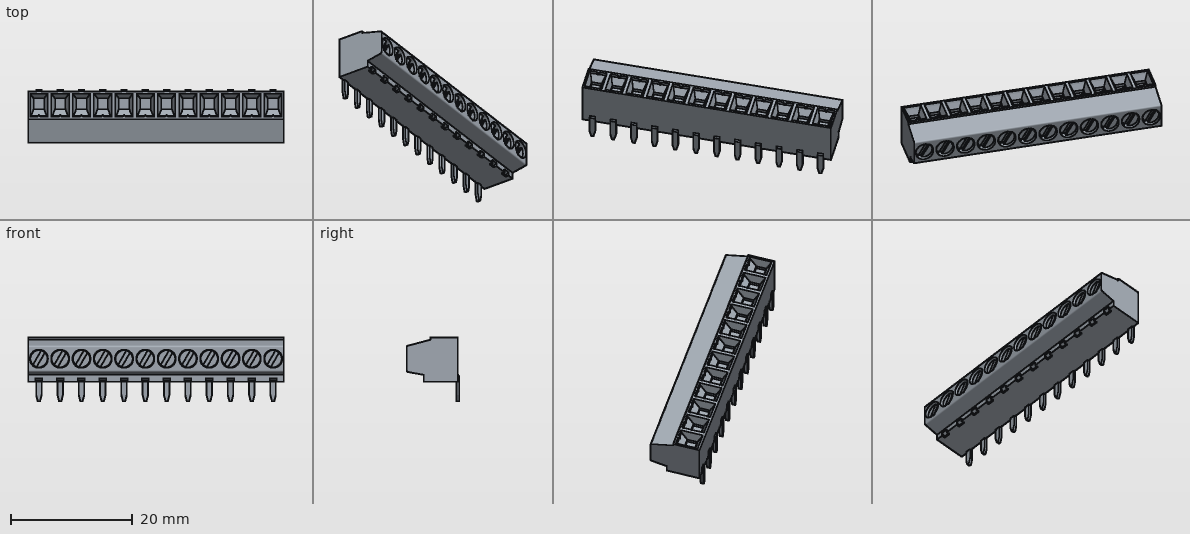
import cadquery as cq

pole_count = 12
pitch = 3.5
housing_length = pole_count * pitch

housing_depth = 8.45
housing_height = 7.3
top_land_depth = 4.55
top_step_height = 0.36
front_top_z = -1.4
front_bottom_z = -5.65
foot_depth = 5.65
foot_top_z = -6.17
front_edge_radius = 0.3

funnel_width = 2.9
funnel_back_y = -0.4
funnel_front_y = -4.15
rim_band_depth = 0.37
rim_back_inset = 0.18
rim_front_inset = 0.14
funnel_depth = 1.28
throat_width = 1.7
throat_back_y = -1.15
throat_front_y = -2.9
throat_floor_depth = 1.8
marker_width = 0.55
marker_reach = 0.28

screw_z = -3.5
screw_hole_diameter = 3.0
screw_head_diameter = 2.8
screw_hole_depth = 1.2
screw_head_recess = 0.5
driver_slot_width = 0.7
driver_slot_depth = 0.5
driver_slot_angle = 60

drain_width = 1.15
drain_front_height = 0.62
drain_back_height = 0.3
drain_depth = 0.6

pin_width = 0.95
pin_thickness = 0.5
pin_overhang = 0.25
pin_top_chamfer = 0.24
pin_length = 3.2
pin_tip_length = 1.05
pin_tip_width = 0.4
pin_tip_radius = 0.15
pin_bottom_z = -housing_height - pin_length

pole_positions = [(i - (pole_count - 1) / 2) * pitch for i in range(pole_count)]


def make_housing():
    outline = [
        (0, 0),
        (-top_land_depth, 0),
        (-top_land_depth, -top_step_height),
        (-housing_depth, front_top_z),
        (-housing_depth, front_bottom_z),
        (-foot_depth, foot_top_z),
        (-foot_depth, -housing_height),
        (0, -housing_height),
    ]
    housing = cq.Workplane("YZ").polyline(outline).close().extrude(housing_length / 2, both=True)
    front_edges = housing.faces("<Y").edges("|X")
    return front_edges.fillet(front_edge_radius)


def tapered_well(top, bottom):
    """Loft between two rectangles, each given as (z, width, front y, back y)."""
    wires = []
    for z, width, front_y, back_y in (top, bottom):
        section = (
            cq.Workplane("XY", origin=(0, (front_y + back_y) / 2, z))
            .rect(width, back_y - front_y)
        )
        wires.append(section.val())
    return cq.Workplane(obj=cq.Solid.makeLoft(wires, True))


def make_marker():
    """Small pointed tooth on the front rim of a funnel."""
    return (
        cq.Workplane("XY")
        .moveTo(-marker_width / 2, funnel_front_y)
        .lineTo(marker_width / 2, funnel_front_y)
        .lineTo(0, funnel_front_y + marker_reach)
        .close()
        .extrude(-rim_band_depth)
    )


def make_funnel():
    band_width = funnel_width + (throat_width - funnel_width) * rim_band_depth / funnel_depth
    mouth = (0, funnel_width, funnel_front_y, funnel_back_y)
    band = (-rim_band_depth, band_width, funnel_front_y + rim_front_inset, funnel_back_y - rim_back_inset)
    throat_top = (-funnel_depth, throat_width, throat_front_y, throat_back_y)
    throat_floor = (-throat_floor_depth, throat_width, throat_front_y, throat_back_y)
    funnel = tapered_well(mouth, band)
    funnel = funnel.union(tapered_well(band, throat_top))
    funnel = funnel.union(tapered_well(throat_top, throat_floor))
    return funnel.cut(make_marker())


def front_cylinder(diameter, start_depth, end_depth):
    """Cylinder along Y between two depths behind the front face."""
    return (
        cq.Workplane("XZ", origin=(0, start_depth - housing_depth, screw_z))
        .circle(diameter / 2)
        .extrude(start_depth - end_depth)
    )


def make_screw_recess():
    """Empty space around the sunken, slotted screw head."""
    hole = front_cylinder(screw_hole_diameter, 0, screw_hole_depth)
    head = front_cylinder(screw_head_diameter, screw_head_recess, screw_hole_depth)
    slot = (
        cq.Workplane("XZ", origin=(0, screw_head_recess - housing_depth, screw_z))
        .transformed(rotate=(0, 0, driver_slot_angle))
        .rect(screw_hole_diameter, driver_slot_width)
        .extrude(-driver_slot_depth)
    )
    return hole.cut(head.cut(slot))


def make_drain():
    back_y = drain_depth - foot_depth
    outline = [
        (-foot_depth, -housing_height),
        (-foot_depth, -housing_height + drain_front_height),
        (back_y, -housing_height + drain_back_height),
        (back_y, -housing_height),
    ]
    return (
        cq.Workplane("YZ")
        .polyline(outline)
        .close()
        .extrude(drain_width / 2, both=True)
    )


def make_pin():
    taper_z = pin_bottom_z + pin_tip_length
    outline = [
        (-pin_width / 2, foot_top_z),
        (-pin_width / 2, taper_z),
        (-pin_tip_width / 2, pin_bottom_z),
        (pin_tip_width / 2, pin_bottom_z),
        (pin_width / 2, taper_z),
        (pin_width / 2, foot_top_z),
    ]
    pin = (
        cq.Workplane("XZ", origin=(0, pin_overhang, 0))
        .polyline(outline)
        .close()
        .extrude(pin_thickness)
    )
    pin = pin.faces("<Z").edges("|Y").fillet(pin_tip_radius)
    return pin.faces(">Z").edges(">Y").chamfer(pin_top_chamfer)


def repeat_at_poles(shape):
    """One copy of the shape at every pole, gathered in a compound."""
    copies = [shape.val().translate(cq.Vector(x, 0, 0)) for x in pole_positions]
    return cq.Workplane(obj=cq.Compound.makeCompound(copies))


result = make_housing()
for cutter in (make_funnel(), make_screw_recess(), make_drain()):
    result = result.cut(repeat_at_poles(cutter))
result = result.union(repeat_at_poles(make_pin()))
result = cq.Workplane(obj=result.solids().val())